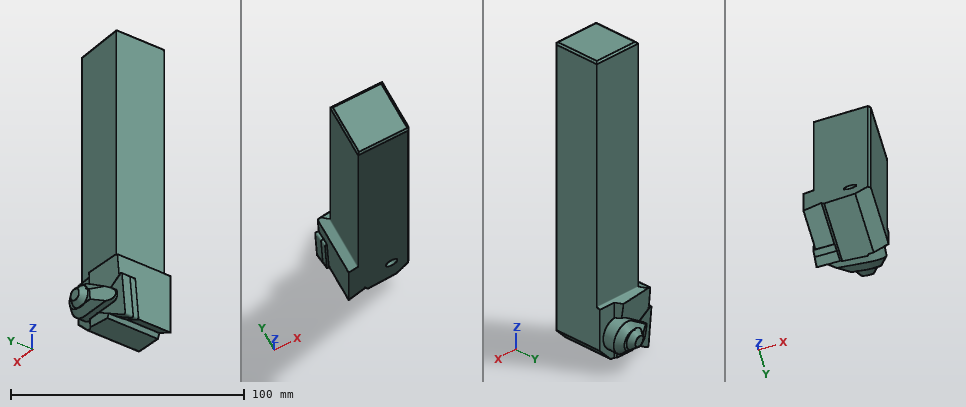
import cadquery as cq
import math

length = 152.4
shank = 25.3
end_chamfer = 0.9
edge_chamfer = 1.0

head_overhang = 4.5
shoulder_root_z = 32.0
shoulder_slope = 14.0
shoulder_fillet = 0.6
head_back = 32.0
head_left_bottom_z = 1.4
notch_x, notch_z = 3.5, 5.6
toe_x, toe_z = 4.7, 3.4
heel_x, heel_z = 18.6, 4.5
right_bottom_z = 11.3

rake_rise_x = 0.1
rake_rise_z = 0.087
insert_reach = 6.4
corner_radius = 0.8
rake_y_at_tip = 25.1

insert_edge = 22.0
insert_thickness = 4.5
shim_thickness = 3.0

heel_flat_y = 27.1
heel_flat_x = 16.5

screw_up, screw_right = 16.9, 20.0
clamp_height = 6.9
clamp_sink = 3.0
heel_radius = 7.8
heel_shift = 1.8
nose_up, nose_right = 13.0, 6.9
nose_radius = 3.0
nose_height = 0.9
slope_end_right = 13.7
clamp_bevel_side = 2.9
clamp_bevel_height = 3.5
screw_head_radius = 5.2
screw_top_radius = 2.7
screw_head_height = 2.9

hole_radius = 2.7
hole_end_depth = 9.1

sharp_corner_z = -(math.sqrt(3) - 1) * corner_radius
rake_plane = cq.Plane(
    origin=(-insert_reach, rake_y_at_tip, sharp_corner_z),
    xDir=(0, rake_rise_z, 1),
    normal=(-rake_rise_x, 1, -rake_rise_z),
)


def rake_workplane(height=0.0):
    """Workplane parallel to the rake plane: local x runs up, local y runs right."""
    return cq.Workplane(rake_plane).workplane(offset=height)


def shoulder_z(overhang):
    return shoulder_root_z - overhang * math.tan(math.radians(shoulder_slope))


def shank_and_head():
    """Front outline crossed with side outline, so the two shoulders meet in a mitre."""
    front = (
        cq.Workplane("XZ")
        .polyline([
            (0, length),
            (0, shoulder_root_z),
            (-head_overhang, shoulder_z(head_overhang)),
            (-head_overhang, head_left_bottom_z),
            (notch_x, notch_z),
            (toe_x, toe_z),
            (heel_x, heel_z),
            (shank, right_bottom_z),
            (shank, length),
        ])
        .close()
        .extrude(-head_back)
    )
    side = (
        cq.Workplane("YZ", origin=(-head_overhang, 0, 0))
        .polyline([
            (0, 0),
            (head_back, 0),
            (head_back, shoulder_z(head_back - shank)),
            (shank, shoulder_root_z),
            (shank, length),
            (0, length),
        ])
        .close()
        .extrude(shank + head_overhang)
    )
    body = front.intersect(side)
    left_root = cq.selectors.NearestToPointSelector((0, shank / 2, shoulder_root_z))
    back_root = cq.selectors.NearestToPointSelector((shank / 2, shank, shoulder_root_z))
    body = body.edges(left_root + back_root).fillet(shoulder_fillet)
    body = body.faces(">Z").chamfer(end_chamfer)
    return body.edges("|Z and >X and <Y").chamfer(edge_chamfer)


def above_rake():
    """Space over the rake plane; it climbs clear of the shank above the shoulder."""
    return rake_workplane().rect(2 * length, 2 * length).extrude(head_back)


def above_heel_flat():
    """45 degree sided space over the flat, running the full height of the head."""
    rise = head_back - heel_flat_y
    return (
        cq.Workplane("XY")
        .polyline([
            (heel_flat_x, heel_flat_y),
            (heel_flat_x - rise, head_back),
            (shank, head_back),
            (shank, heel_flat_y),
        ])
        .close()
        .extrude(shoulder_root_z)
    )


def triangle_plate(top, thickness):
    """Equilateral plate with rounded corners, hanging down from the given height over the rake plane."""
    return (
        rake_workplane(top)
        .polyline([
            (0, 0),
            (insert_edge, 0),
            (insert_edge / 2, insert_edge * math.sqrt(3) / 2),
        ])
        .close()
        .extrude(-thickness)
        .edges(cq.selectors.ParallelDirSelector(rake_plane.zDir))
        .fillet(corner_radius)
    )


def clamp():
    """Bevelled plate whose outline wraps a heel circle and a nose circle, with a sloping nose."""
    heel_right = screw_right + heel_shift
    span_up = nose_up - screw_up
    span_right = nose_right - heel_right
    axis = math.atan2(span_right, span_up)
    spread = math.acos((heel_radius - nose_radius) / math.hypot(span_up, span_right))

    def on_heel(angle):
        return screw_up + heel_radius * math.cos(angle), heel_right + heel_radius * math.sin(angle)

    def on_nose(angle):
        return nose_up + nose_radius * math.cos(angle), nose_right + nose_radius * math.sin(angle)

    plate = (
        rake_workplane(-clamp_sink)
        .moveTo(*on_heel(axis + spread))
        .threePointArc(on_heel(axis + math.pi), on_heel(axis - spread))
        .lineTo(*on_nose(axis - spread))
        .threePointArc(on_nose(axis), on_nose(axis + spread))
        .close()
        .extrude(clamp_height + clamp_sink)
        .faces(cq.selectors.DirectionMinMaxSelector(rake_plane.zDir))
        .chamfer(clamp_bevel_height, clamp_bevel_side)
    )
    nose_end = nose_right - nose_radius
    above_nose = (
        cq.Workplane(cq.Plane(rake_plane.origin, rake_plane.yDir, rake_plane.xDir))
        .polyline([
            (nose_end, nose_height),
            (slope_end_right, clamp_height),
            (nose_end, clamp_height),
        ])
        .close()
        .extrude(shank, both=True)
    )
    return plate.cut(above_nose)


def screw_head():
    """Tapered head standing on the clamp."""
    return (
        rake_workplane(clamp_height)
        .center(screw_up, screw_right)
        .circle(screw_head_radius)
        .workplane(offset=screw_head_height)
        .circle(screw_top_radius)
        .loft()
    )


def screw_hole():
    return (
        rake_workplane(-hole_end_depth)
        .center(screw_up, screw_right)
        .circle(hole_radius)
        .extrude(-head_back)
    )


insert = triangle_plate(0, insert_thickness)
shim = triangle_plate(-insert_thickness, shim_thickness)
holder = (
    shank_and_head()
    .cut(above_rake())
    .cut(above_heel_flat())
    .union(shim)
    .union(clamp())
    .union(screw_head())
    .cut(screw_hole())
    .cut(insert)
)

result = cq.Compound.makeCompound([holder.val(), insert.val()])